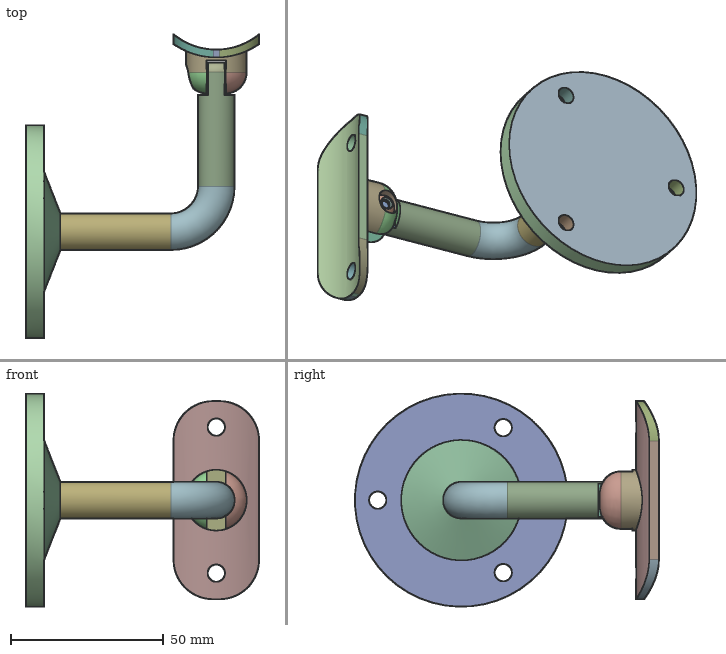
import cadquery as cq
import math

flange_diameter = 70.0
flange_radius = flange_diameter / 2
flange_thickness = 6.0
flange_hole_circle_radius = 27.5
mounting_hole_diameter = 5.6
cone_base_radius = 19.8
cone_height = 5.4
rod_diameter = 12.1
rod_radius = rod_diameter / 2
bend_radius = 15.0
straight_end_x = 47.5
tongue_start_y = 44.9
tongue_end_y = 55.5
tongue_thickness = 5.4
tongue_tip_fillet = 3.1
arm_axis_x = straight_end_x + bend_radius

overall_length = 99.8
saddle_width = 28.2
saddle_height = 65.1
saddle_thickness = 2.6
saddle_inner_radius = 22.2
saddle_corner_radius = 13.1
saddle_hole_spacing = 47.9
saddle_rim_y = overall_length - flange_radius
saddle_outer_radius = saddle_inner_radius + saddle_thickness
saddle_center_y = saddle_rim_y + math.sqrt(saddle_inner_radius**2 - (saddle_width / 2)**2)
saddle_back_y = saddle_center_y - saddle_outer_radius

knuckle_radius = 10.0
knuckle_end_y = 45.3
knuckle_fillet = 7.0
slot_width = 6.3
slot_floor_y = 56.1

screw_y = 50.9
shank_radius = 2.6
shank_end_offset = 6.0
head_radius = 4.0
head_seat_offset = 5.6
head_height = 2.2
head_flat_radius = 2.1
socket_radius = 1.5
socket_depth = 1.5
socket_chamfer = head_flat_radius - socket_radius
head_seat_x = arm_axis_x - head_seat_offset
head_top_x = head_seat_x - head_height
shank_length = head_seat_offset + shank_end_offset


def x_cylinder(radius, length, start_x, y=0.0, z=0.0):
    """Cylinder running toward +X from start_x."""
    return cq.Workplane("YZ", origin=(start_x, y, z)).circle(radius).extrude(length)


def y_cylinder(radius, start_y, end_y):
    """Cylinder around the upright axis of the arm, running toward +Y."""
    plane = cq.Plane(origin=(arm_axis_x, start_y, 0), xDir=(1, 0, 0), normal=(0, 1, 0))
    return cq.Workplane(plane).circle(radius).extrude(end_y - start_y)


def make_flange():
    cone_end_x = flange_thickness + cone_height
    profile = [
        (0, 0),
        (0, flange_radius),
        (flange_thickness, flange_radius),
        (flange_thickness, cone_base_radius),
        (cone_end_x, rod_radius),
        (cone_end_x, 0),
    ]
    flange = cq.Workplane("XY").polyline(profile).close().revolve(360, (0, 0, 0), (1, 0, 0))
    for angle in (60, 180, 300):
        hole_y = flange_hole_circle_radius * math.cos(math.radians(angle))
        hole_z = flange_hole_circle_radius * math.sin(math.radians(angle))
        flange = flange.cut(x_cylinder(mounting_hole_diameter / 2, flange_thickness, 0, hole_y, hole_z))
    return flange


def make_tongue_end():
    """Straight end of the rod, rounded at the tip and cut flat on both sides."""
    end = y_cylinder(rod_radius, bend_radius, tongue_end_y).faces(">Y").edges().fillet(tongue_tip_fillet)
    flat_length = tongue_end_y - tongue_start_y
    waste = y_cylinder(2 * rod_radius, tongue_start_y, tongue_end_y)
    tongue = cq.Workplane("XY").box(tongue_thickness, flat_length, 2 * rod_radius)
    waste = waste.cut(tongue.translate((arm_axis_x, tongue_start_y + flat_length / 2, 0)))
    return end.cut(waste)


def make_arm():
    rod_start_x = flange_thickness + cone_height
    straight = x_cylinder(rod_radius, straight_end_x - rod_start_x, rod_start_x)
    bend = (
        cq.Workplane("YZ", origin=(straight_end_x, 0, 0))
        .circle(rod_radius)
        .revolve(90, (bend_radius, 0, 0), (bend_radius, 1, 0))
    )
    pivot_hole = x_cylinder(shank_radius, shank_length, head_seat_x, screw_y)
    return make_flange().union(straight).union(bend).union(make_tongue_end()).cut(pivot_hole)


def make_saddle_plate():
    ring = (
        cq.Workplane("XY", origin=(arm_axis_x, saddle_center_y, -saddle_height / 2))
        .circle(saddle_outer_radius)
        .circle(saddle_inner_radius)
        .extrude(saddle_height)
    )
    plate_depth = saddle_rim_y - saddle_back_y
    outline = (
        cq.Workplane("XY")
        .box(saddle_width, plate_depth, saddle_height)
        .edges("|Y")
        .fillet(saddle_corner_radius)
        .translate((arm_axis_x, saddle_back_y + plate_depth / 2, 0))
    )
    plate = ring.intersect(outline)
    for hole_z in (-saddle_hole_spacing / 2, saddle_hole_spacing / 2):
        hole = y_cylinder(mounting_hole_diameter / 2, saddle_back_y, saddle_rim_y)
        plate = plate.cut(hole.translate((0, 0, hole_z)))
    return plate


def make_knuckle():
    knuckle = y_cylinder(knuckle_radius, knuckle_end_y, saddle_rim_y)
    knuckle = knuckle.faces("<Y").edges().fillet(knuckle_fillet)
    trim_radius = saddle_inner_radius + saddle_thickness / 2
    trim = (
        cq.Workplane("XY", origin=(arm_axis_x, saddle_center_y, -saddle_height / 2))
        .circle(trim_radius)
        .extrude(saddle_height)
    )
    slot_depth = slot_floor_y - knuckle_end_y
    slot = cq.Workplane("XY").box(slot_width, slot_depth, 2 * knuckle_radius)
    slot = slot.translate((arm_axis_x, knuckle_end_y + slot_depth / 2, 0))
    shank_hole = x_cylinder(shank_radius, shank_length, head_seat_x, screw_y)
    counterbore_start_x = arm_axis_x - saddle_width / 2
    counterbore = x_cylinder(head_radius, head_seat_x - counterbore_start_x, counterbore_start_x, screw_y)
    return knuckle.cut(trim).cut(slot).cut(shank_hole).cut(counterbore)


def make_saddle():
    return make_saddle_plate().union(make_knuckle())


def make_screw():
    """Domed screw with a chamfered round socket."""
    dome_center = (head_radius**2 - head_flat_radius**2 - head_height**2) / (2 * head_height)
    dome_radius = math.hypot(head_radius, dome_center)
    mid_height = head_height / 2
    mid_radius = math.sqrt(dome_radius**2 - (mid_height + dome_center)**2)
    shank_end_x = arm_axis_x + shank_end_offset
    socket_floor_x = head_top_x + socket_depth
    return (
        cq.Workplane("XY", origin=(0, screw_y, 0))
        .moveTo(shank_end_x, 0)
        .lineTo(shank_end_x, shank_radius)
        .lineTo(head_seat_x, shank_radius)
        .lineTo(head_seat_x, head_radius)
        .threePointArc((head_seat_x - mid_height, mid_radius), (head_top_x, head_flat_radius))
        .lineTo(head_top_x + socket_chamfer, socket_radius)
        .lineTo(socket_floor_x, socket_radius)
        .lineTo(socket_floor_x, 0)
        .close()
        .revolve(360, (0, 0, 0), (1, 0, 0))
    )


arm = make_arm()
saddle = make_saddle()
screw = make_screw()

result = cq.Compound.makeCompound([arm.solids().val(), saddle.solids().val(), screw.val()])